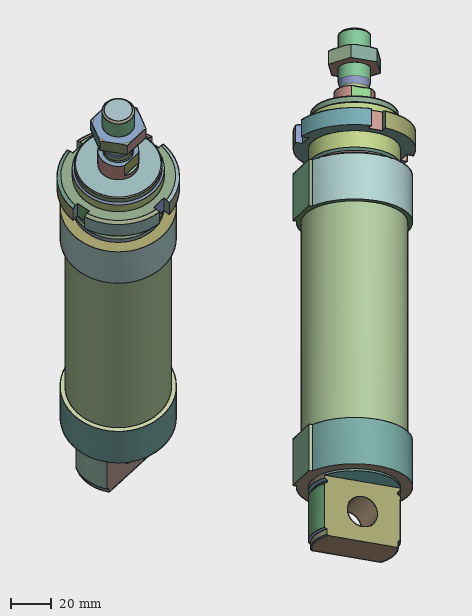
import cadquery as cq
import math

TOTAL_LENGTH = 275.2
HEAD_TOP_Z = 232.8
FRONT_COLLAR_TOP_Z = 199.2
REAR_COLLAR_BOTTOM_Z = 33.0
COLLAR_LENGTH = 24.8

TUBE_DIAMETER = 52.3
COLLAR_DIAMETER = 57.0
THREAD_DIAMETER = 45.0
PORT_PAD_WIDTH = 20.0

RIM_DIAMETER = 43.0
RIM_LENGTH = 3.3
RIM_CHAMFER = 0.5
RIM_CONE_LENGTH = 0.8

GROOVE_DIAMETER = 42.5
GROOVE_OFFSET = 2.5
GROOVE_CONE_LENGTH = 1.0
GROOVE_FLOOR_LENGTH = 0.8

EYE_THICKNESS = 20.0
EYE_HOLE_DIAMETER = 16.0
EYE_HOLE_Z = 16.0
SHOULDER_THICKNESS = 1.0

ROD_DIAMETER = 20.0
ROD_TOP_Z = 243.3
ROD_FLATS_WIDTH = 17.0
ROD_FLATS_BOTTOM_Z = 235.3
ROD_THREAD_DIAMETER = 16.0
ROD_THREAD_BOTTOM_Z = 249.3
ROD_THREAD_CHAMFER = 1.0
NECK_DIAMETER = 14.0
NECK_CONE_LENGTH = 3.5
NECK_FLARE = 0.5

HEX_ACROSS_FLATS = 24.0
HEX_HEIGHT = 7.5
HEX_BOTTOM_Z = 256.5
HEX_CHAMFER_DIAMETER = 24.8
HEX_CHAMFER_ANGLE = 15.0

RING_NUT_DIAMETER = 60.0
RING_NUT_HEIGHT = 10.0
RING_NUT_BOTTOM_Z = 213.5
RING_CHAMFER_WIDTH = 2.0
RING_CHAMFER_HEIGHT = 0.8
RING_SLOT_COUNT = 4
RING_SLOT_WIDTH = 7.5
RING_SLOT_DEPTH = 3.9

thread_r = THREAD_DIAMETER / 2
groove_r = GROOVE_DIAMETER / 2
rim_r = RIM_DIAMETER / 2


def cylinder(diameter, bottom_z, top_z):
    return cq.Workplane("XY", origin=(0, 0, bottom_z)).circle(diameter / 2).extrude(top_z - bottom_z)


def turned(profile):
    """Revolve (radius, z) points, closed along the Z axis."""
    return cq.Workplane("XZ").polyline(profile).close().revolve(360, (0, 0, 0), (0, 1, 0))


def threaded_end(length):
    """Threaded stub from z = 0 at its collar to z = length at its free end."""
    groove_floor_start = GROOVE_OFFSET + GROOVE_CONE_LENGTH
    groove_floor_end = groove_floor_start + GROOVE_FLOOR_LENGTH
    rim_start = length - RIM_LENGTH
    return turned([
        (0, 0),
        (thread_r, 0),
        (thread_r, GROOVE_OFFSET),
        (groove_r, groove_floor_start),
        (groove_r, groove_floor_end),
        (thread_r, groove_floor_end + GROOVE_CONE_LENGTH),
        (thread_r, rim_start - RIM_CONE_LENGTH),
        (rim_r, rim_start),
        (rim_r, length - RIM_CHAMFER),
        (rim_r - RIM_CHAMFER, length),
        (0, length),
    ])


def collar(bottom_z):
    """Round end collar with a flat port pad on its +Y side."""
    collar_r = COLLAR_DIAMETER / 2
    pad = (
        cq.Workplane("XY", origin=(0, collar_r / 2, bottom_z))
        .rect(PORT_PAD_WIDTH, collar_r)
        .extrude(COLLAR_LENGTH)
    )
    return cylinder(COLLAR_DIAMETER, bottom_z, bottom_z + COLLAR_LENGTH).union(pad)


def rear_eye():
    """Threaded stub cut down to a flat tang with a cross hole."""
    stub = (
        threaded_end(REAR_COLLAR_BOTTOM_Z)
        .rotate((0, 0, 0), (1, 0, 0), 180)
        .translate((0, 0, REAR_COLLAR_BOTTOM_Z))
    )
    slab = cq.Workplane("XY").rect(EYE_THICKNESS, THREAD_DIAMETER).extrude(REAR_COLLAR_BOTTOM_Z)
    hole = (
        cq.Workplane("YZ", origin=(-EYE_THICKNESS, 0, EYE_HOLE_Z))
        .circle(EYE_HOLE_DIAMETER / 2)
        .extrude(2 * EYE_THICKNESS)
    )
    shoulder = cylinder(THREAD_DIAMETER, REAR_COLLAR_BOTTOM_Z - SHOULDER_THICKNESS, REAR_COLLAR_BOTTOM_Z)
    return stub.intersect(slab).cut(hole).union(shoulder)


def make_housing():
    tube = cylinder(TUBE_DIAMETER, REAR_COLLAR_BOTTOM_Z, FRONT_COLLAR_TOP_Z)
    head = threaded_end(HEAD_TOP_Z - FRONT_COLLAR_TOP_Z)
    return (
        tube.union(collar(REAR_COLLAR_BOTTOM_Z))
        .union(collar(FRONT_COLLAR_TOP_Z - COLLAR_LENGTH))
        .union(head.translate((0, 0, FRONT_COLLAR_TOP_Z)))
        .union(rear_eye())
    )


def make_piston_rod():
    rod_r = ROD_DIAMETER / 2
    neck_r = NECK_DIAMETER / 2
    rod_thread_r = ROD_THREAD_DIAMETER / 2
    rod = turned([
        (0, HEAD_TOP_Z),
        (rod_r, HEAD_TOP_Z),
        (rod_r, ROD_TOP_Z),
        (neck_r + NECK_FLARE, ROD_TOP_Z),
        (neck_r, ROD_TOP_Z + NECK_FLARE),
        (neck_r, ROD_THREAD_BOTTOM_Z - NECK_CONE_LENGTH),
        (rod_thread_r, ROD_THREAD_BOTTOM_Z),
        (rod_thread_r, TOTAL_LENGTH - ROD_THREAD_CHAMFER),
        (rod_thread_r - ROD_THREAD_CHAMFER, TOTAL_LENGTH),
        (0, TOTAL_LENGTH),
    ])
    for side in (-1, 1):
        flat = (
            cq.Workplane("XY", origin=(side * (ROD_FLATS_WIDTH + ROD_DIAMETER) / 2, 0, ROD_FLATS_BOTTOM_Z))
            .rect(ROD_DIAMETER, ROD_DIAMETER)
            .extrude(ROD_TOP_Z - ROD_FLATS_BOTTOM_Z)
        )
        rod = rod.cut(flat)
    return rod


def make_hex_nut():
    corner_diameter = HEX_ACROSS_FLATS / math.cos(math.pi / 6)
    prism = (
        cq.Workplane("XY", origin=(0, 0, HEX_BOTTOM_Z))
        .transformed(rotate=(0, 0, 90))
        .polygon(6, corner_diameter)
        .circle(ROD_THREAD_DIAMETER / 2)
        .extrude(HEX_HEIGHT)
    )
    top_z = HEX_BOTTOM_Z + HEX_HEIGHT
    corner_drop = (corner_diameter - HEX_CHAMFER_DIAMETER) / 2 * math.tan(math.radians(HEX_CHAMFER_ANGLE))
    envelope = turned([
        (0, HEX_BOTTOM_Z),
        (corner_diameter / 2, HEX_BOTTOM_Z),
        (corner_diameter / 2, top_z - corner_drop),
        (HEX_CHAMFER_DIAMETER / 2, top_z),
        (0, top_z),
    ])
    return prism.intersect(envelope)


def make_ring_nut():
    outer_r = RING_NUT_DIAMETER / 2
    top_z = RING_NUT_BOTTOM_Z + RING_NUT_HEIGHT
    nut = turned([
        (thread_r, RING_NUT_BOTTOM_Z),
        (outer_r, RING_NUT_BOTTOM_Z),
        (outer_r, top_z - RING_CHAMFER_HEIGHT),
        (outer_r - RING_CHAMFER_WIDTH, top_z),
        (thread_r, top_z),
    ])
    slots = (
        cq.Workplane("XY", origin=(0, 0, RING_NUT_BOTTOM_Z))
        .polarArray(outer_r, 0, 360, RING_SLOT_COUNT)
        .rect(2 * RING_SLOT_DEPTH, RING_SLOT_WIDTH)
        .extrude(RING_NUT_HEIGHT)
    )
    return nut.cut(slots)


housing = make_housing()
piston_rod = make_piston_rod()
hex_nut = make_hex_nut()
ring_nut = make_ring_nut()

result = cq.Compound.makeCompound([housing.val(), piston_rod.val(), hex_nut.val(), ring_nut.val()])